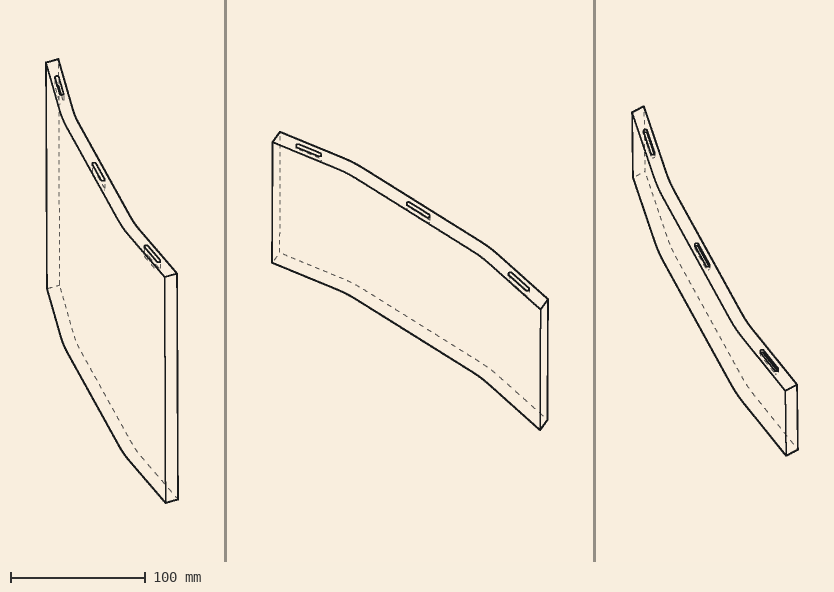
import cadquery as cq
import math

width = 240.0
height = 240.0
thickness = 9.8
lean = 0.7

flat_half_width = 52.5
bend_angle = math.radians(10)
outer_radius = 97.0
inner_radius = outer_radius - thickness

slot_length = 20.2
slot_width = 3.0
slot_depth = 10.0
wing_slot_x = 94.0


def bend_point(radius, angle):
    """Point on the right-hand bend; the front of the flat centre is at Y = 0."""
    return (
        flat_half_width + radius * math.sin(angle),
        outer_radius - radius * math.cos(angle),
    )


def wing_y(radius, x):
    """Y of the straight right-hand wing that follows the bend of this radius."""
    bend_x, bend_y = bend_point(radius, bend_angle)
    return bend_y + (x - bend_x) * math.tan(bend_angle)


def mirrored(point):
    return (-point[0], point[1])


def make_panel():
    half_width = width / 2
    front_mid = bend_point(outer_radius, bend_angle / 2)
    front_end = bend_point(outer_radius, bend_angle)
    back_start = bend_point(inner_radius, 0)
    back_mid = bend_point(inner_radius, bend_angle / 2)
    back_end = bend_point(inner_radius, bend_angle)
    front_tip = (half_width, wing_y(outer_radius, half_width))
    back_tip = (half_width, wing_y(inner_radius, half_width))

    outline = (
        cq.Workplane("XY")
        .moveTo(-flat_half_width, 0)
        .lineTo(flat_half_width, 0)
        .threePointArc(front_mid, front_end)
        .lineTo(*front_tip)
        .lineTo(*back_tip)
        .lineTo(*back_end)
        .threePointArc(back_mid, back_start)
        .lineTo(*mirrored(back_start))
        .threePointArc(mirrored(back_mid), mirrored(back_end))
        .lineTo(*mirrored(back_tip))
        .lineTo(*mirrored(front_tip))
        .lineTo(*mirrored(front_end))
        .threePointArc(mirrored(front_mid), (-flat_half_width, 0))
        .close()
    )
    return cq.Workplane(cq.Solid.extrudeLinear(outline.val(), [], cq.Vector(0, -lean, height)))


def make_slot(x, y, angle):
    return (
        cq.Workplane("XY")
        .slot2D(slot_length, slot_width)
        .extrude(slot_depth)
        .rotate((0, 0, 0), (0, 0, 1), math.degrees(angle))
        .translate((x, y - lean, height - slot_depth))
    )


mid_radius = (outer_radius + inner_radius) / 2
wing_slot_y = wing_y(mid_radius, wing_slot_x)

result = make_panel().cut(make_slot(0, thickness / 2, 0))
for side in (-1, 1):
    result = result.cut(make_slot(side * wing_slot_x, wing_slot_y, side * bend_angle))